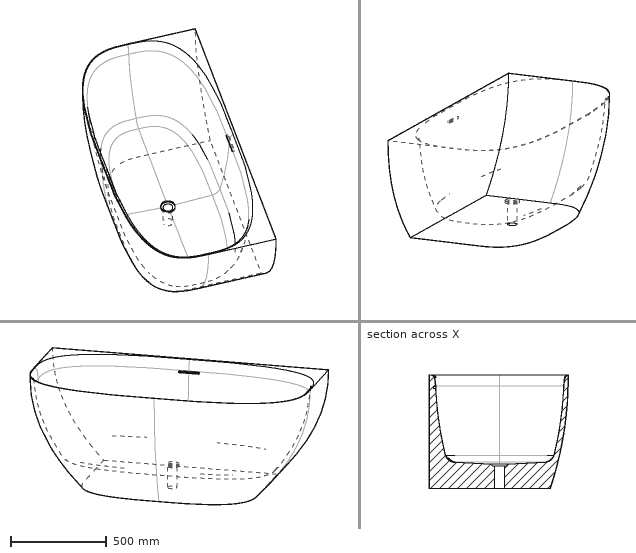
import cadquery as cq
import math


HEIGHT = 595.0
HALF_LENGTH = 750.0
FRONT_DEPTH = 360.0
BACK_DEPTH = 370.0
BASE_END_INSET = 278.0
BASE_FRONT_INSET = 95.0
BULGE_POWER = 2.1
BODY_LEVELS = 6

OUTLINE_POWER = 3.0
POINTS_PER_QUARTER = 8

RIM_WIDTH = 4.0
LIP_DROP = 57.0
LIP_LEVELS = 3
LIP_END_WALL = 21.0
LIP_SIDE_WALL = 24.0
WALL_BOTTOM_DROP = 421.0
WALL_BOTTOM_END_WALL = 28.0
WALL_BOTTOM_SIDE_WALL = 30.0
WALL_LEVELS = 4
FLOOR_DROP = 456.0
FLOOR_HALF_LENGTH = 544.0
FLOOR_HALF_WIDTH = 242.0
FLOOR_FALL = 10.0
CORNER_MIDDLE_DROP_SHARE = 0.68
CORNER_MIDDLE_REACH_SHARE = 0.4

DRAIN_SEAT_DIAMETER = 76.0
DRAIN_SEAT_DEPTH = 10.0
DRAIN_HOLE_DIAMETER = 50.0

OVERFLOW_BELOW_LIP = 9.0
OVERFLOW_LENGTH = 112.0
OVERFLOW_HEIGHT = 9.0
OVERFLOW_DEPTH = 10.0


def body_half_sizes(drop):
    """Half length and front depth of the outer body at a distance below the rim."""
    inset_share = (drop / HEIGHT) ** BULGE_POWER
    half_length = HALF_LENGTH - BASE_END_INSET * inset_share
    front_depth = FRONT_DEPTH - BASE_FRONT_INSET * inset_share
    return half_length, front_depth


def quarter_curve(half_length, half_width, drop, x_side, y_side):
    """Quarter superellipse from its end on the X axis to its side on the Y axis."""
    points = []
    for i in range(POINTS_PER_QUARTER + 1):
        angle = math.pi / 2 * i / POINTS_PER_QUARTER
        x = half_length * abs(math.cos(angle)) ** (2 / OUTLINE_POWER)
        y = half_width * abs(math.sin(angle)) ** (2 / OUTLINE_POWER)
        points.append(cq.Vector(x_side * x, y_side * y, HEIGHT - drop))
    points[-1] = cq.Vector(0, y_side * half_width, HEIGHT - drop)
    tangents = [cq.Vector(0, y_side, 0), cq.Vector(-x_side, 0, 0)]
    return cq.Edge.makeSpline(points, tangents=tangents)


def body_outline(drop):
    """Rounded front half closed by straight sides and a flat back."""
    half_length, front_depth = body_half_sizes(drop)
    z = HEIGHT - drop
    left_end = cq.Vector(-half_length, 0, z)
    left_back = cq.Vector(-half_length, BACK_DEPTH, z)
    right_back = cq.Vector(half_length, BACK_DEPTH, z)
    right_end = cq.Vector(half_length, 0, z)
    return cq.Wire.assembleEdges([
        quarter_curve(half_length, front_depth, drop, -1, -1),
        quarter_curve(half_length, front_depth, drop, 1, -1),
        cq.Edge.makeLine(right_end, right_back),
        cq.Edge.makeLine(right_back, left_back),
        cq.Edge.makeLine(left_back, left_end),
    ])


def basin_outline(half_length, half_width, drop):
    """Full superellipse in four quarters."""
    sides = [(1, 1), (-1, 1), (-1, -1), (1, -1)]
    return cq.Wire.assembleEdges(
        [quarter_curve(half_length, half_width, drop, x_side, y_side) for x_side, y_side in sides]
    )


def body():
    drops = [HEIGHT * i / BODY_LEVELS for i in range(BODY_LEVELS + 1)]
    return cq.Workplane(cq.Solid.makeLoft([body_outline(drop) for drop in drops]))


def between(start, end, share):
    return start + (end - start) * share


def wall_half_sizes(share):
    """Half length, half width and drop of the basin wall: share 0 at the lip foot, 1 at the bottom."""
    drop = between(LIP_DROP, WALL_BOTTOM_DROP, share)
    half_length, front_depth = body_half_sizes(drop)
    end_wall = between(LIP_END_WALL, WALL_BOTTOM_END_WALL, share)
    side_wall = between(LIP_SIDE_WALL, WALL_BOTTOM_SIDE_WALL, share)
    return half_length - end_wall, front_depth - side_wall, drop


def wall_outline(share):
    return basin_outline(*wall_half_sizes(share))


def lip_outline(angle):
    """Rolled lip: a quarter ellipse that leaves the rim flat and meets the wall upright."""
    foot_length, foot_width, foot_drop = wall_half_sizes(0)
    reach = math.sin(angle)
    half_length = between(HALF_LENGTH - RIM_WIDTH, foot_length, reach)
    half_width = between(FRONT_DEPTH - RIM_WIDTH, foot_width, reach)
    return basin_outline(half_length, half_width, foot_drop * (1 - math.cos(angle)))


def lip_space():
    angles = [math.pi / 2 * i / LIP_LEVELS for i in range(LIP_LEVELS + 1)]
    return cq.Solid.makeLoft([lip_outline(angle) for angle in angles])


def wall_space():
    return cq.Solid.makeLoft([wall_outline(i / WALL_LEVELS) for i in range(WALL_LEVELS + 1)])


def floor_outline():
    return basin_outline(FLOOR_HALF_LENGTH, FLOOR_HALF_WIDTH, FLOOR_DROP)


def corner_space():
    """Rounded turn from the wall bottom into the floor."""
    wall_length, wall_width, wall_drop = wall_half_sizes(1)
    middle = basin_outline(
        between(wall_length, FLOOR_HALF_LENGTH, CORNER_MIDDLE_REACH_SHARE),
        between(wall_width, FLOOR_HALF_WIDTH, CORNER_MIDDLE_REACH_SHARE),
        between(wall_drop, FLOOR_DROP, CORNER_MIDDLE_DROP_SHARE),
    )
    return cq.Solid.makeLoft([wall_outline(1), middle, floor_outline()])


def floor_space():
    """Shallow fall from the floor edge to the drain seat."""
    seat_radius = DRAIN_SEAT_DIAMETER / 2
    seat_drop = FLOOR_DROP + FLOOR_FALL
    seat_center = cq.Vector(0, 0, HEIGHT - seat_drop)
    up = cq.Vector(0, 0, 1)
    quarter_starts = (0, 90, 180, 270)
    seat_outline = cq.Wire.assembleEdges(
        [cq.Edge.makeCircle(seat_radius, seat_center, up, start, start + 90) for start in quarter_starts]
    )
    return cq.Solid.makeLoft([floor_outline(), seat_outline], True)


def drain():
    seat_bottom = HEIGHT - FLOOR_DROP - FLOOR_FALL - DRAIN_SEAT_DEPTH
    seat = cq.Workplane().workplane(offset=seat_bottom).circle(DRAIN_SEAT_DIAMETER / 2).extrude(
        DRAIN_SEAT_DEPTH
    )
    hole = cq.Workplane().circle(DRAIN_HOLE_DIAMETER / 2).extrude(seat_bottom)
    return seat.union(hole)


def overflow():
    wall_depth = FRONT_DEPTH - LIP_SIDE_WALL
    return (
        cq.Workplane("XZ", origin=(0, wall_depth + OVERFLOW_DEPTH, HEIGHT - LIP_DROP - OVERFLOW_BELOW_LIP))
        .slot2D(OVERFLOW_LENGTH, OVERFLOW_HEIGHT)
        .extrude(2 * OVERFLOW_DEPTH)
    )


result = body()
for space in (lip_space(), wall_space(), corner_space(), floor_space()):
    result = result.cut(cq.Workplane(space))
result = result.cut(drain()).cut(overflow())